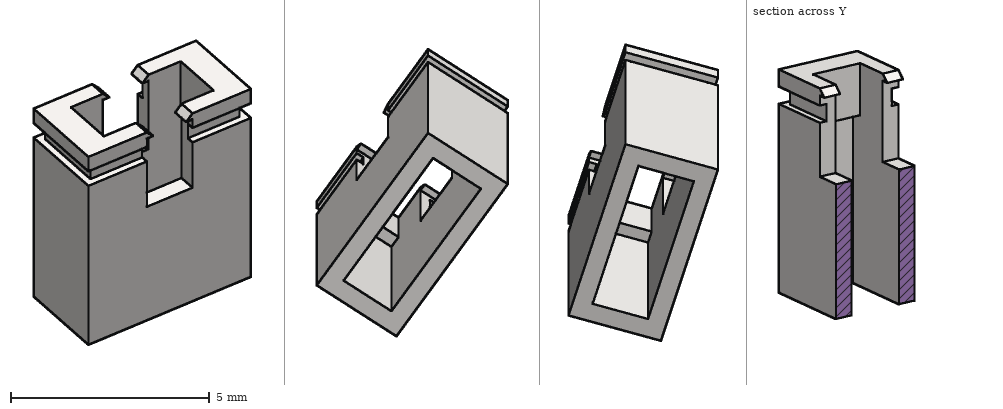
import cadquery as cq

width_x = 2.44
length_y = 4.98
height = 5.97

cavity_x = 1.46
mouth_y = 3.36
mouth_depth = 1.39
end_setback = 0.32

rim_height = 0.46
groove_height = 0.46
groove_depth = 0.205

slot_width = 1.40
slot_depth = 2.36

catch_size = 0.195


def block():
    return cq.Workplane("XY").box(width_x, length_y, height, centered=(True, True, False))


def groove():
    bottom = height - rim_height - groove_height
    return (
        cq.Workplane("XY")
        .workplane(offset=bottom)
        .rect(width_x, length_y)
        .rect(width_x - 2 * groove_depth, length_y - 2 * groove_depth)
        .extrude(groove_height)
    )


def cavity():
    mouth = cq.Workplane("XY").rect(cavity_x, mouth_y).extrude(height)
    chamber_y = mouth_y + 2 * end_setback
    chamber = cq.Workplane("XY").rect(cavity_x, chamber_y).extrude(height - mouth_depth)
    return mouth.union(chamber)


def slot():
    """Slot profile in the YZ plane, narrowed near the top by the two catches."""
    half_slot = slot_width / 2
    catch_tip = half_slot - catch_size
    floor_z = height - slot_depth
    catch_z = height - catch_size
    return (
        cq.Workplane("YZ")
        .moveTo(-half_slot, floor_z)
        .lineTo(half_slot, floor_z)
        .lineTo(half_slot, catch_z)
        .lineTo(catch_tip, catch_z)
        .lineTo(half_slot, height)
        .lineTo(-half_slot, height)
        .lineTo(-catch_tip, catch_z)
        .lineTo(-half_slot, catch_z)
        .close()
        .extrude(width_x / 2, both=True)
    )


result = block().cut(groove()).cut(cavity()).cut(slot())